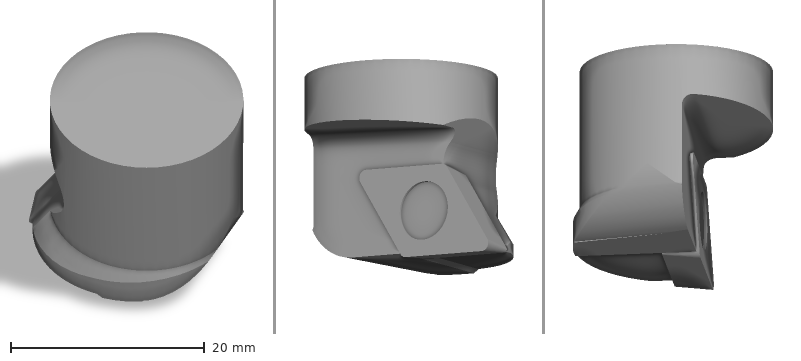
import cadquery as cq
import math

NECK_DIAMETER = 20.0
NECK_RADIUS = NECK_DIAMETER / 2
NECK_LENGTH = 14.9

HEAD_RADIUS = 10.9
HEAD_LEFT_CENTER = -1.0
HEAD_RIGHT_CENTER = -0.66
CONE_HALF_ANGLE = 30
HEAD_HEIGHT = 5.72

RAKE_ANGLE = 10
REACH = 16
CUT_LEVEL = -22.87

INSERT_THICKNESS = 3.98
INSERT_INSCRIBED_DIAMETER = 9.54
INSERT_CORNER_ANGLE = 55
INSERT_RELIEF_ANGLE = 7
INSERT_NOSE_RADIUS = 0.8
INSERT_TIP_U = -12.67
INSERT_TIP_Z = -20.0
INSERT_FACE_N = 2.22
CUTTING_EDGE_ANGLE = 3
RECESS_DIAMETER = 6.13
RECESS_DEPTH = 0.35
SIDE_EDGE_ANGLE = CUTTING_EDGE_ANGLE + INSERT_CORNER_ANGLE

FLUTE_FACE_N = 1.88
FLUTE_ROOF_Z = -6.08
FLUTE_ROOF_ANGLE = 4.5
FLUTE_FILLET = 1.23

NOTCH_RADIUS = 3.0
NOTCH_CENTER_U = -9.72
NOTCH_CENTER_Z = -10.06
NOTCH_ROOF_ANGLE = 45

UNDERSIDE_CLEARANCE = 0.48
RELIEF_CLEARANCE = 0.87
RELIEF_END_U = -2.2
RELIEF_RAMP_LENGTH = 0.65
NOSE_CUT_Z = -18.55
NOSE_CUT_END_U = -11.05

OUTER_CORNER_RADIUS = 6.0


def sin(angle):
    return math.sin(math.radians(angle))


def cos(angle):
    return math.cos(math.radians(angle))


def tan(angle):
    return math.tan(math.radians(angle))


BISECTOR_ANGLE = CUTTING_EDGE_ANGLE + INSERT_CORNER_ANGLE / 2
NOSE_TO_CORNER = INSERT_NOSE_RADIUS / sin(INSERT_CORNER_ANGLE / 2)
CORNER_U = INSERT_TIP_U + INSERT_NOSE_RADIUS - NOSE_TO_CORNER * cos(BISECTOR_ANGLE)
CORNER_Z = INSERT_TIP_Z + INSERT_NOSE_RADIUS - NOSE_TO_CORNER * sin(BISECTOR_ANGLE)


def tool_plane(n):
    """Workplane at height n: local x is u, local y is Z, extrusion goes toward -n."""
    outward = cq.Vector(-sin(RAKE_ANGLE), cos(RAKE_ANGLE), 0)
    along = cq.Vector(cos(RAKE_ANGLE), sin(RAKE_ANGLE), 0)
    return cq.Workplane(cq.Plane(origin=outward * n, xDir=along, normal=outward * -1))


def edge_z(u, clearance):
    """Z of a line parallel to the lower cutting edge, raised by clearance."""
    return CORNER_Z + clearance + (u - CORNER_U) * tan(CUTTING_EDGE_ANGLE)


def make_insert_blank():
    """Tapered rhombic plate without its recess; also the shape of its pocket."""
    side = INSERT_INSCRIBED_DIAMETER / sin(INSERT_CORNER_ANGLE)
    lower = (side * cos(CUTTING_EDGE_ANGLE), side * sin(CUTTING_EDGE_ANGLE))
    upper = (side * cos(SIDE_EDGE_ANGLE), side * sin(SIDE_EDGE_ANGLE))
    outline = [
        (CORNER_U, CORNER_Z),
        (CORNER_U + lower[0], CORNER_Z + lower[1]),
        (CORNER_U + lower[0] + upper[0], CORNER_Z + lower[1] + upper[1]),
        (CORNER_U + upper[0], CORNER_Z + upper[1]),
    ]
    sketch = cq.Sketch().polygon(outline + outline[:1]).vertices().fillet(INSERT_NOSE_RADIUS)
    return tool_plane(INSERT_FACE_N).placeSketch(sketch).extrude(
        INSERT_THICKNESS, taper=INSERT_RELIEF_ANGLE)


def make_insert():
    """Insert with a shallow round recess centered in its rake face."""
    center_distance = INSERT_INSCRIBED_DIAMETER / 2 / sin(INSERT_CORNER_ANGLE / 2)
    center = (
        CORNER_U + center_distance * cos(BISECTOR_ANGLE),
        CORNER_Z + center_distance * sin(BISECTOR_ANGLE),
    )
    recess = (
        tool_plane(INSERT_FACE_N)
        .center(*center)
        .circle(RECESS_DIAMETER / 2)
        .extrude(RECESS_DEPTH)
    )
    return make_insert_blank().cut(recess)


def make_head_blank():
    """Neck cylinder and the flared head below it."""
    neck = cq.Workplane("XY").circle(NECK_RADIUS).extrude(-NECK_LENGTH - HEAD_HEIGHT)
    base_radius = NECK_RADIUS + HEAD_HEIGHT * tan(CONE_HALF_ANGLE)
    base_z = -NECK_LENGTH - HEAD_HEIGHT
    cone = (
        cq.Workplane("XZ")
        .polyline([(0, -NECK_LENGTH), (NECK_RADIUS, -NECK_LENGTH), (base_radius, base_z), (0, base_z)])
        .close()
        .revolve(360, (0, 0), (0, 1))
    )
    oblong_length = HEAD_RIGHT_CENTER - HEAD_LEFT_CENTER + 2 * HEAD_RADIUS
    oblong_center = (HEAD_LEFT_CENTER + HEAD_RIGHT_CENTER) / 2
    oblong = (
        cq.Workplane("XY", origin=(oblong_center, 0, base_z))
        .slot2D(oblong_length, 2 * HEAD_RADIUS)
        .extrude(HEAD_HEIGHT)
    )
    return neck.union(cone.intersect(oblong))


def make_flute():
    """Everything in front of the rake face, below a gently sloping roof."""
    rise = REACH * tan(FLUTE_ROOF_ANGLE)
    return (
        tool_plane(REACH)
        .polyline([
            (-REACH, CUT_LEVEL),
            (REACH, CUT_LEVEL),
            (REACH, FLUTE_ROOF_Z + rise),
            (-REACH, FLUTE_ROOF_Z - rise),
        ])
        .close()
        .extrude(REACH - FLUTE_FACE_N)
        .faces(cq.selectors.DirectionMinMaxSelector(tool_plane(0).plane.zDir))
        .edges(">Z")
        .fillet(FLUTE_FILLET)
    )


def make_side_envelope():
    """Body outline in the rake plane: notch, nose cut and underside."""
    def on_notch(angle):
        return (NOTCH_CENTER_U + NOTCH_RADIUS * cos(angle), NOTCH_CENTER_Z + NOTCH_RADIUS * sin(angle))

    arc_start = on_notch(90 - NOTCH_ROOF_ANGLE)
    arc_end = on_notch(SIDE_EDGE_ANGLE - 90)
    roof_run = arc_start[0] + REACH
    wall_end_u = arc_end[0] - (arc_end[1] - NOSE_CUT_Z) / tan(SIDE_EDGE_ANGLE)
    ramp_end_u = RELIEF_END_U + RELIEF_RAMP_LENGTH
    return (
        tool_plane(REACH)
        .moveTo(-REACH, arc_start[1] + roof_run * tan(NOTCH_ROOF_ANGLE))
        .lineTo(*arc_start)
        .threePointArc(on_notch(0), arc_end)
        .lineTo(wall_end_u, NOSE_CUT_Z)
        .lineTo(NOSE_CUT_END_U, edge_z(NOSE_CUT_END_U, RELIEF_CLEARANCE))
        .lineTo(RELIEF_END_U, edge_z(RELIEF_END_U, RELIEF_CLEARANCE))
        .lineTo(ramp_end_u, edge_z(ramp_end_u, UNDERSIDE_CLEARANCE))
        .lineTo(REACH, edge_z(REACH, UNDERSIDE_CLEARANCE))
        .lineTo(REACH, REACH)
        .lineTo(-REACH, REACH)
        .close()
        .extrude(2 * REACH)
    )


def make_corner_cutter():
    """Waste outside an arc tangent to the +X side of the neck and to the underside."""
    turn = 90 - CUTTING_EDGE_ANGLE
    tangent_length = OUTER_CORNER_RADIUS * tan(turn / 2)
    corner_z = edge_z(NECK_RADIUS, UNDERSIDE_CLEARANCE)
    arc_start = (
        NECK_RADIUS - tangent_length * cos(CUTTING_EDGE_ANGLE),
        corner_z - tangent_length * sin(CUTTING_EDGE_ANGLE),
    )
    arc_end = (NECK_RADIUS, corner_z + tangent_length)
    arc_middle = (
        NECK_RADIUS - OUTER_CORNER_RADIUS * (1 - cos(turn / 2)),
        arc_end[1] - OUTER_CORNER_RADIUS * sin(turn / 2),
    )
    return (
        cq.Workplane("XZ")
        .moveTo(*arc_start)
        .threePointArc(arc_middle, arc_end)
        .lineTo(REACH, arc_end[1])
        .lineTo(REACH, CUT_LEVEL)
        .lineTo(arc_start[0], CUT_LEVEL)
        .close()
        .extrude(REACH, both=True)
    )


def make_holder():
    return (
        make_head_blank()
        .intersect(make_side_envelope())
        .cut(make_corner_cutter())
        .cut(make_flute())
        .cut(make_insert_blank())
    )


holder = make_holder()
insert = make_insert()
result = cq.Compound.makeCompound([holder.solids().val(), insert.solids().val()])